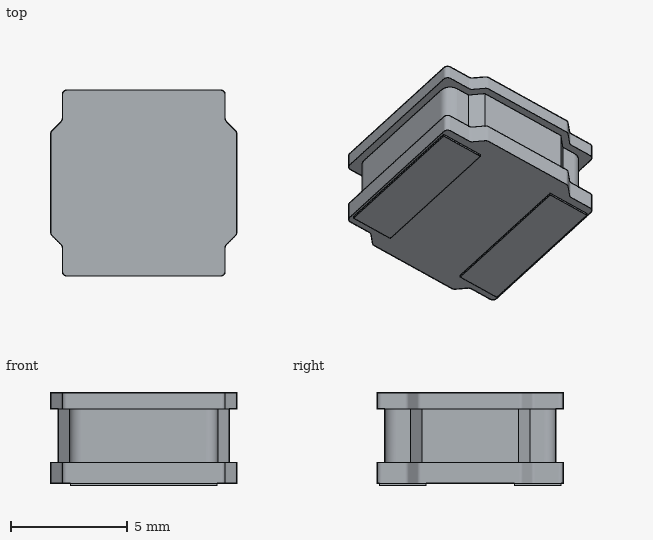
import cadquery as cq
import math


side = 8.0
height = 4.0

pad_thickness = 0.1
bottom_flange_thickness = 0.9
top_flange_thickness = 0.7
core_bottom = pad_thickness + bottom_flange_thickness
core_top = height - top_flange_thickness

notch_depth = 0.5
notch_chamfer_start = 2.2
flange_edge_radius = 0.2

core_inset = 0.32
core_corner_radius = 0.5

pad_length = 6.3
pad_width = 2.0
pad_edge_gap = 0.1


def notched_block(half_side, chamfer_start, bottom, top):
    """Extrude the notched square; each notch is closed by a 45 degree slope."""
    half_arm = half_side - notch_depth
    chamfer_end = chamfer_start + notch_depth
    corner = [
        (half_side, chamfer_start),
        (half_arm, chamfer_end),
        (half_arm, half_side),
    ]
    right_half = [(x, -y) for x, y in reversed(corner)] + corner
    left_half = [(-x, -y) for x, y in right_half]
    outline = right_half + left_half
    return cq.Workplane("XY").workplane(offset=bottom).polyline(outline).close().extrude(top - bottom)


def flange(bottom, top):
    block = notched_block(side / 2, notch_chamfer_start, bottom, top)
    return block.edges("|Z").fillet(flange_edge_radius)


def core():
    half_side = side / 2 - core_inset
    slope_shift = core_inset * math.tan(math.radians(45 / 2))
    chamfer_start = notch_chamfer_start - slope_shift
    block = notched_block(half_side, chamfer_start, core_bottom, core_top)
    return block.faces("<Y or >Y").edges("|Z").fillet(core_corner_radius)


def solder_pads():
    pad_offset = side / 2 - pad_edge_gap - pad_width / 2
    return (
        cq.Workplane("XY")
        .pushPoints([(0, -pad_offset), (0, pad_offset)])
        .rect(pad_length, pad_width)
        .extrude(pad_thickness)
    )


bottom_flange = flange(pad_thickness, core_bottom)
top_flange = flange(core_top, height)
result = bottom_flange.union(core()).union(top_flange).union(solder_pads())